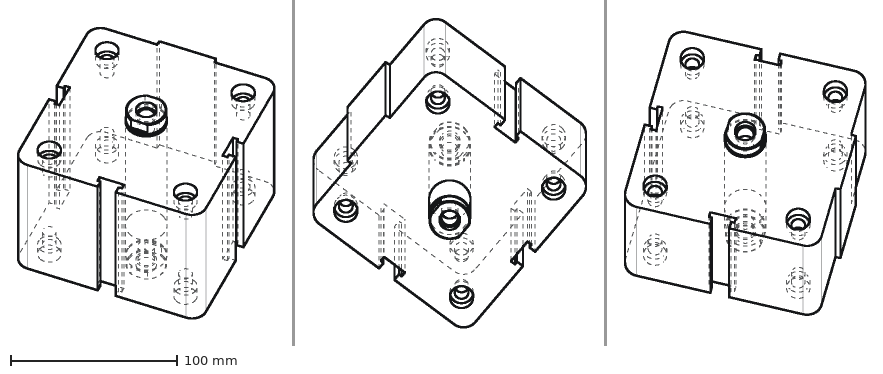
import cadquery as cq

total_length = 136.5
body_width = 122.0
body_height = 91.2
corner_radius = 9.1
rod_top_length = 10.2
rod_bottom_length = total_length - body_height - rod_top_length

total_depth = 125.0
tongue_height = total_depth - body_width
tongue_base_width = 37.7
tongue_tip_width = 36.9

slot_mouth_width = 11.7
slot_inner_width = 16.0
slot_depth = 7.6
slot_lip = 4.5

screw_offset = 44.5
screw_counterbore_diameter = 14.0
screw_counterbore_depth = 8.2
screw_hole_diameter = 8.3
screw_hole_depth = 19.4

rod_diameter = 25.0
rod_end_diameter = 24.5
rod_end_length = 8.3
rod_shoulder_height = 0.5
rod_end_chamfer = 0.5
flat_spacing = 22.0
flat_length = 7.1
rod_counterbore_diameter = 12.3
rod_counterbore_depth = 4.9
rod_hole_diameter = 10.1
rod_hole_depth = 16.4


def make_t_slot():
    """T-slot cutter that opens to the -Y side and runs the full height."""
    side_y = -body_width / 2
    mouth = cq.Workplane("XY").box(
        slot_mouth_width, slot_depth, body_height, centered=(True, False, False)
    )
    undercut = (
        cq.Workplane("XY")
        .box(slot_inner_width, slot_depth - slot_lip, body_height, centered=(True, False, False))
        .translate((0, slot_lip, 0))
    )
    return mouth.union(undercut).translate((0, side_y, 0))


def make_tongue():
    """Tapered tongue that runs the full height of the +Y side."""
    base_y = body_width / 2
    tip_y = base_y + tongue_height
    return (
        cq.Workplane("XY")
        .moveTo(-tongue_base_width / 2, base_y)
        .lineTo(-tongue_tip_width / 2, tip_y)
        .lineTo(tongue_tip_width / 2, tip_y)
        .lineTo(tongue_base_width / 2, base_y)
        .close()
        .extrude(body_height)
    )


def make_housing():
    """Square housing with the rod bore, tongue, T-slots and screw holes."""
    housing = (
        cq.Workplane("XY")
        .box(body_width, body_width, body_height, centered=(True, True, False))
        .edges("|Z")
        .fillet(corner_radius)
        .union(make_tongue())
    )

    for angle in (-90, 0, 90):
        housing = housing.cut(make_t_slot().rotate((0, 0, 0), (0, 0, 1), angle))

    for end_face in (">Z", "<Z"):
        housing = (
            housing.faces(end_face)
            .workplane(origin=(0, 0, 0))
            .rect(2 * screw_offset, 2 * screw_offset, forConstruction=True)
            .vertices()
            .cboreHole(
                screw_hole_diameter,
                screw_counterbore_diameter,
                screw_counterbore_depth,
                screw_hole_depth,
            )
        )

    rod_bore = cq.Workplane("XY").circle(rod_diameter / 2).extrude(body_height)
    return housing.cut(rod_bore)


def make_flat_cutters():
    """Pair of blocks that leave parallel wrench flats facing -Y and +Y, from Z = 0 up."""
    block_depth = rod_diameter
    return (
        cq.Workplane("XY")
        .pushPoints([(0, side * (flat_spacing + block_depth) / 2) for side in (-1, 1)])
        .rect(2 * rod_diameter, block_depth)
        .extrude(flat_length)
    )


def make_rod():
    """Round rod through the housing, alike at both ends."""
    bottom_z = -rod_bottom_length
    top_z = bottom_z + total_length
    radius = rod_diameter / 2
    end_radius = rod_end_diameter / 2
    tip_radius = end_radius - rod_end_chamfer
    shoulder = rod_end_length + rod_shoulder_height

    rod = (
        cq.Workplane("XZ")
        .moveTo(0, bottom_z)
        .lineTo(tip_radius, bottom_z)
        .lineTo(end_radius, bottom_z + rod_end_chamfer)
        .lineTo(end_radius, bottom_z + rod_end_length)
        .lineTo(radius, bottom_z + shoulder)
        .lineTo(radius, top_z - shoulder)
        .lineTo(end_radius, top_z - rod_end_length)
        .lineTo(end_radius, top_z - rod_end_chamfer)
        .lineTo(tip_radius, top_z)
        .lineTo(0, top_z)
        .close()
        .revolve(360, (0, 0, 0), (0, 1, 0))
    )

    for flats_z in (bottom_z, top_z - flat_length):
        rod = rod.cut(make_flat_cutters().translate((0, 0, flats_z)))

    for end_face in (">Z", "<Z"):
        rod = (
            rod.faces(end_face)
            .workplane(origin=(0, 0, 0))
            .cboreHole(
                rod_hole_diameter, rod_counterbore_diameter, rod_counterbore_depth, rod_hole_depth
            )
        )
    return rod


housing = make_housing()
rod = make_rod()

result = cq.Compound.makeCompound([housing.solids().val(), rod.solids().val()])